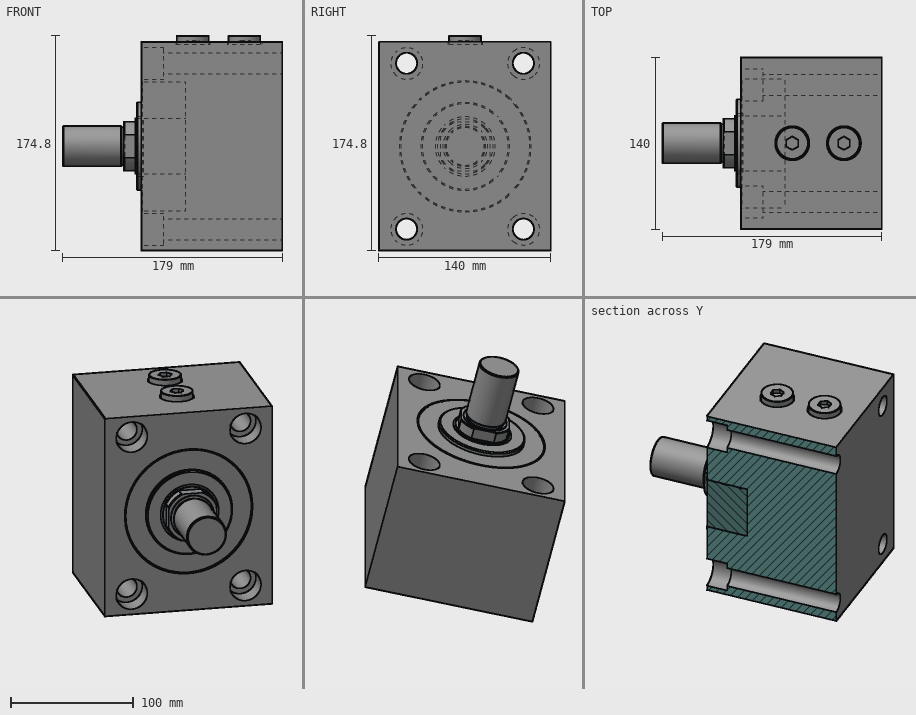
import cadquery as cq
import math


housing_length = 115.0
housing_width = 140.0
housing_height = 170.0
top_edge_chamfer = 0.5

mount_hole_diameter = 17.0
mount_counterbore_diameter = 26.0
mount_counterbore_depth = 18.0
mount_spacing_y = 95.0
mount_spacing_z = 135.0

gland_diameter = 105.0
gland_depth = 35.8
gland_bore_chamfer = 1.0
boss_diameter = 72.0
boss_projection = 3.8
boss_chamfer = 1.0

wiper_diameter = 48.7
wiper_depth = 5.4

rod_diameter = 45.1
rod_projection = 64.0
stud_diameter = 33.0
stud_length = 48.3
stud_chamfer = 0.9
neck_diameter = 31.0
shoulder_distance = 50.0
shoulder_diameter = 44.2
shoulder_chamfer = 0.5
shoulder_recess_diameter = 36.2
shoulder_recess_depth = 0.5
flats_across = 40.1
flats_length = 9.3

plug_diameter = 26.1
plug_projection = 4.8
plug_chamfer = 0.4
plug_hex_across_flats = 9.5
plug_hex_depth = 3.5
port_diameter = 28.0
port_depth = 2.0
first_port_x = 41.9
port_spacing = 42.0

housing_top = housing_height / 2
port_floor = housing_top - port_depth
port_positions = [first_port_x, first_port_x + port_spacing]
boss_face = -boss_projection
wiper_back = boss_face + wiper_depth
rod_tip = -rod_projection
stud_end = rod_tip + stud_length
shoulder_face = rod_tip + shoulder_distance
flats_end = shoulder_face + flats_length
recess_floor = shoulder_face + shoulder_recess_depth


def rod_axis_cylinder(diameter, start, end):
    """Cylinder on the X axis between two X positions."""
    return cq.Workplane("YZ", origin=(start, 0, 0)).circle(diameter / 2).extrude(end - start)


def vertical_cylinder(diameter, x, bottom, top):
    """Cylinder along Z between two heights, centred on the housing width."""
    return cq.Workplane("XY", origin=(x, 0, bottom)).circle(diameter / 2).extrude(top - bottom)


def make_housing():
    body = cq.Workplane("XY").box(
        housing_length, housing_width, housing_height, centered=(False, True, True)
    )
    body = body.edges("|X and >Z").chamfer(top_edge_chamfer)

    body = body.cut(rod_axis_cylinder(gland_diameter, 0, gland_depth))
    mouth_diameter = gland_diameter + 2 * gland_bore_chamfer
    mouth = cq.Solid.makeCone(
        mouth_diameter / 2,
        gland_diameter / 2,
        gland_bore_chamfer,
        pnt=cq.Vector(0, 0, 0),
        dir=cq.Vector(1, 0, 0),
    )
    body = body.cut(cq.Workplane(mouth))

    for side_y in (-1, 1):
        for side_z in (-1, 1):
            hole = rod_axis_cylinder(mount_hole_diameter, 0, housing_length)
            hole = hole.union(rod_axis_cylinder(mount_counterbore_diameter, 0, mount_counterbore_depth))
            body = body.cut(hole.translate((0, side_y * mount_spacing_y / 2, side_z * mount_spacing_z / 2)))

    for x in port_positions:
        body = body.cut(vertical_cylinder(port_diameter, x, port_floor, housing_top))
    return body


def make_gland():
    disc = rod_axis_cylinder(gland_diameter, 0, gland_depth)
    boss = rod_axis_cylinder(boss_diameter, boss_face, 0).faces("<X").chamfer(boss_chamfer)
    body = disc.union(boss)
    body = body.cut(rod_axis_cylinder(rod_diameter, boss_face, gland_depth))
    return body.cut(rod_axis_cylinder(wiper_diameter, boss_face, wiper_back))


def make_wiper():
    ring = rod_axis_cylinder(wiper_diameter, boss_face, wiper_back)
    return ring.cut(rod_axis_cylinder(rod_diameter, boss_face, wiper_back))


def make_rod():
    shank = rod_axis_cylinder(rod_diameter, flats_end, gland_depth)

    shoulder = rod_axis_cylinder(shoulder_diameter, shoulder_face, flats_end)
    shoulder = shoulder.faces("<X").chamfer(shoulder_chamfer)
    square = cq.Workplane("YZ", origin=(shoulder_face, 0, 0)).rect(flats_across, flats_across)
    shoulder = shoulder.intersect(square.extrude(flats_length))

    shoulder = shoulder.cut(rod_axis_cylinder(shoulder_recess_diameter, shoulder_face, recess_floor))

    neck = rod_axis_cylinder(neck_diameter, stud_end, recess_floor)
    stud = rod_axis_cylinder(stud_diameter, rod_tip, stud_end).faces("<X or >X").chamfer(stud_chamfer)
    return shank.union(shoulder).union(neck).union(stud)


def make_plug(x):
    plug_top = housing_top + plug_projection
    body = vertical_cylinder(plug_diameter, x, port_floor, plug_top)
    body = body.faces(">Z").chamfer(plug_chamfer)

    hex_across_corners = plug_hex_across_flats / math.cos(math.pi / 6)
    socket = cq.Workplane("XY", origin=(x, 0, plug_top - plug_hex_depth))
    socket = socket.transformed(rotate=(0, 0, 90)).polygon(6, hex_across_corners).extrude(plug_hex_depth)
    return body.cut(socket)


housing = make_housing()
gland = make_gland()
wiper = make_wiper()
rod = make_rod()
plugs = [make_plug(x) for x in port_positions]

result = cq.Compound.makeCompound(
    [housing.val(), gland.val(), wiper.val(), rod.val(), *[plug.val() for plug in plugs]]
)